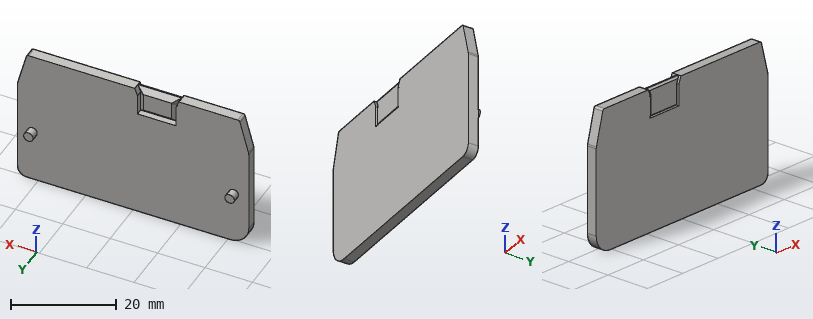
import cadquery as cq
import math

width = 48.8
height = 29.4
thickness = 2.25
shoulder_inset = 1.95
shoulder_drop = 7.3
top_corner_radius = 0.5
shoulder_radius = 1.45
left_bottom_radius = 4.0
right_bottom_radius = 2.0

pin_diameter = 2.0
pin_length = 1.75
pin_offset = 21.25
pin_height = 11.3

opening_center = -5.0
opening_width = 8.1
opening_top_width = 9.25
opening_depth = 5.95
flare_depth = 1.55
front_recess = 0.2
front_bevel_depth = 0.45
front_bevel_inset = 0.4
web_thickness = 0.3
rear_bevel_depth = 1.02
rear_bevel_inset = 1.1


def xz_plane(y):
    """Plane facing -Y, with local X along X and local Y along Z."""
    return cq.Workplane("XZ", origin=(0, y, 0))


def make_plate():
    half = width / 2
    top_half = half - shoulder_inset
    shoulder_z = height - shoulder_drop
    outline = [
        (-half, 0),
        (half, 0),
        (half, shoulder_z),
        (top_half, height),
        (-top_half, height),
        (-half, shoulder_z),
    ]
    corner_radii = [
        left_bottom_radius,
        right_bottom_radius,
        shoulder_radius,
        top_corner_radius,
        top_corner_radius,
        shoulder_radius,
    ]
    plate = xz_plane(0).polyline(outline).close().extrude(-thickness)
    for (x, z), radius in zip(outline, corner_radii):
        corner = cq.selectors.NearestToPointSelector((x, thickness / 2, z))
        plate = plate.edges("|Y").edges(corner).fillet(radius)
    return plate


def opening_profile(y):
    half = opening_width / 2
    top_half = opening_top_width / 2
    bottom_z = height - opening_depth
    flare_z = height - flare_depth
    outline = [
        (opening_center - half, bottom_z),
        (opening_center + half, bottom_z),
        (opening_center + half, flare_z),
        (opening_center + top_half, height),
        (opening_center - top_half, height),
        (opening_center - half, flare_z),
    ]
    return xz_plane(y).polyline(outline).close()


def make_panel():
    """Web that fills the opening, with a beveled pad on each face."""
    web_front = front_recess + front_bevel_depth
    web_rear = web_front + web_thickness
    front_angle = math.degrees(math.atan2(front_bevel_inset, front_bevel_depth))
    rear_angle = math.degrees(math.atan2(rear_bevel_inset, rear_bevel_depth))
    web = opening_profile(web_front).extrude(-web_thickness)
    front_pad = opening_profile(web_front).extrude(front_bevel_depth, taper=front_angle)
    rear_pad = opening_profile(web_rear).extrude(-rear_bevel_depth, taper=rear_angle)
    return web.union(front_pad).union(rear_pad)


def make_pins():
    centers = [(-pin_offset, pin_height), (pin_offset, pin_height)]
    return xz_plane(thickness).pushPoints(centers).circle(pin_diameter / 2).extrude(-pin_length)


opening = opening_profile(0).extrude(-thickness)
result = make_plate().cut(opening).union(make_panel()).union(make_pins())